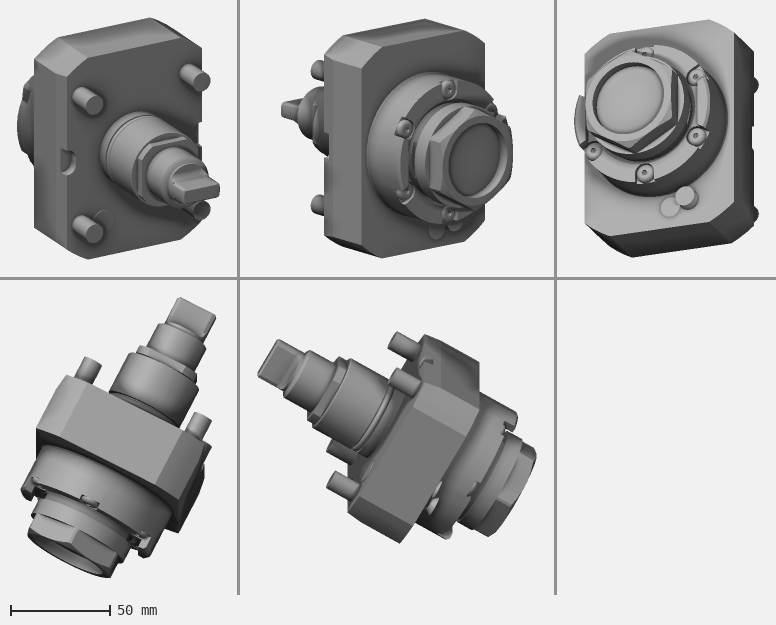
import cadquery as cq
import math

OVERALL_LENGTH = 143.5

HEX_SIDES = 6
HEX_ACROSS_FLATS = 46.2
HEX_LENGTH = 10.0
HEX_CHAMFER_LENGTH = 1.7
COLLAR_RADIUS = 26.3
COLLAR_END = 18.4
NUT_BORE_RADIUS = 19.4
NUT_BORE_DEPTH = 5.7
NECK_RADIUS = 25.0
NECK_END = 28.0
SHAFT_RADIUS = 13.8
SHAFT_END = 126.3
SHOULDER_MID_X = 127.0
SHOULDER_MID_RADIUS = 12.8
SHOULDER_END = 127.9
TANG_RADIUS = 11.0
TANG_BASE = 129.2
TANG_THICKNESS = 8.3
TANG_ROOT_RADIUS = 3.3
TANG_TIP_CHAMFER = 0.9
TANG_EDGE_CHAMFER_Y = 1.7
TANG_EDGE_CHAMFER_Z = 0.9

PLATE_WIDTH = 81.0
PLATE_HEIGHT = 110.0
PLATE_CORNER_RADIUS = 61.3
PLATE_FRONT = 43.2
PLATE_BACK = 74.5
TAPER_START = 65.7
TAPER_INSET = 1.3
KEYWAY_WIDTH = 13.5
KEYWAY_DEPTH_X = 5.0
KEYWAY_DEPTH_Y = 6.7
KEYWAY_CORNER_RADIUS = 5.2
PIN_RADIUS = 5.0
PIN_END = 88.7
PIN_Y = 31.1
PIN_Z = 35.0
PLUG_RADIUS = 6.0
PLUG_PROTRUSION = 0.5
PLUG_Y = -18.1
PLUG_Z = -35.9

FLANGE_RADIUS = 36.9
FLANGE_FLARE_LENGTH = 0.9
FLANGE_FOOT_RADIUS = 37.3
RING_FRONT = 22.4
RING_MOUTH_RADIUS = 27.5
LUG_FRONT = 18.2
LUG_CHAMFER = 1.1
LUG_INNER_Y = 30.3
SCREW_COUNT = 6
SCREW_CIRCLE_RADIUS = 32.0
SCREW_POCKET_WIDTH = 10.2
SCREW_POCKET_DEPTH = 2.7
SCREW_HEAD_RADIUS = 4.9
SCREW_HEAD_HEIGHT = 2.6
SCREW_TOP_RADIUS = 2.5
SCREW_RIM_HEIGHT = 0.7
SOCKET_ACROSS_CORNERS = 3.2
SOCKET_DEPTH = 1.1
SOCKET_POINT_RADIUS = 1.3
SOCKET_POINT_DEPTH = 0.7

SPIGOT_RADIUS = 20.1
SEAL_GROOVE_START = 80.2
SEAL_GROOVE_END = 84.1
SEAL_GROOVE_RADIUS = 17.7
SEAL_SECTION_RADIUS = 1.6
SPIGOT_END = 106.3
SPIGOT_CHAMFER = 0.5
SQUARE_START = 106.9
SQUARE_END = 111.0
SQUARE_ACROSS_FLATS = 32.6
SQUARE_CORNER_RADIUS = 19.1

NOZZLE_MOUTH_RADIUS = 5.2
NOZZLE_TAPER = 0.8
BALL_NOZZLE_Y = -16.1
BALL_NOZZLE_Z = -41.5
BALL_NOZZLE_FRONT = 37.3
BALL_RADIUS = 5.9
BALL_CENTER_X = 45.5
PLAIN_NOZZLE_Y = -6.9
PLAIN_NOZZLE_Z = -44.9
PLAIN_NOZZLE_FRONT = 40.8


def cylinder(radius, start, end, y=0, z=0):
    """Cylinder parallel to X from start to end."""
    return cq.Workplane("YZ", origin=(start, y, z)).circle(radius).extrude(end - start)


def block(start, end, width, height):
    """Box centred on the X axis from start to end."""
    return cq.Workplane("YZ", origin=(start, 0, 0)).rect(width, height).extrude(end - start)


def turned(points):
    """Solid of revolution about X from (x, radius) points; the profile closes on the axis."""
    profile = [(points[0][0], 0), *points]
    if points[-1][1] > 0:
        profile.append((points[-1][0], 0))
    return cq.Workplane("XY").polyline(profile).close().revolve(360, (0, 0, 0), (1, 0, 0))



def make_nut():
    hex_corners = HEX_ACROSS_FLATS / math.cos(math.pi / HEX_SIDES)
    hexagon = cq.Workplane("YZ").polygon(HEX_SIDES, hex_corners).extrude(HEX_LENGTH)
    hexagon = hexagon.rotate((0, 0, 0), (1, 0, 0), 180 / HEX_SIDES)
    envelope = turned([
        (0, HEX_ACROSS_FLATS / 2),
        (HEX_CHAMFER_LENGTH, COLLAR_RADIUS),
        (HEX_LENGTH, COLLAR_RADIUS),
    ])
    nut = hexagon.intersect(envelope).union(cylinder(COLLAR_RADIUS, HEX_LENGTH, COLLAR_END))
    return nut.cut(cylinder(NUT_BORE_RADIUS, 0, NUT_BORE_DEPTH))


def make_neck():
    flats = block(COLLAR_END, RING_FRONT, HEX_ACROSS_FLATS, 2 * NECK_RADIUS)
    flatted = cylinder(NECK_RADIUS, COLLAR_END, RING_FRONT).intersect(flats)
    return flatted.union(cylinder(NECK_RADIUS, RING_FRONT, NECK_END))


def make_tang():
    """Flat drive blade cut from a round stub, with rounded roots and bevelled edges."""
    half = TANG_THICKNESS / 2
    root_end = TANG_BASE + TANG_ROOT_RADIUS
    root_top = half + TANG_ROOT_RADIUS
    arc_offset = TANG_ROOT_RADIUS * (1 - math.sqrt(0.5))
    arc_x = TANG_BASE + arc_offset
    arc_z = half + arc_offset
    tip_start = OVERALL_LENGTH - TANG_TIP_CHAMFER
    tip_half = half - TANG_TIP_CHAMFER
    side_outline = (
        cq.Workplane("XZ")
        .moveTo(SHAFT_END, -SHAFT_RADIUS)
        .lineTo(TANG_BASE, -SHAFT_RADIUS)
        .lineTo(TANG_BASE, -root_top)
        .threePointArc((arc_x, -arc_z), (root_end, -half))
        .lineTo(tip_start, -half)
        .lineTo(OVERALL_LENGTH, -tip_half)
        .lineTo(OVERALL_LENGTH, tip_half)
        .lineTo(tip_start, half)
        .lineTo(root_end, half)
        .threePointArc((arc_x, arc_z), (TANG_BASE, root_top))
        .lineTo(TANG_BASE, SHAFT_RADIUS)
        .lineTo(SHAFT_END, SHAFT_RADIUS)
        .close()
        .extrude(SHAFT_RADIUS, both=True)
    )
    round_stub = turned([
        (SHAFT_END, SHAFT_RADIUS),
        (SHOULDER_MID_X, SHOULDER_MID_RADIUS),
        (SHOULDER_END, TANG_RADIUS),
        (tip_start, TANG_RADIUS),
        (OVERALL_LENGTH, TANG_RADIUS - TANG_TIP_CHAMFER),
    ])
    tang = round_stub.intersect(side_outline)

    edge_y = math.sqrt(TANG_RADIUS ** 2 - (half - TANG_EDGE_CHAMFER_Z) ** 2)
    slope = TANG_EDGE_CHAMFER_Z / TANG_EDGE_CHAMFER_Y
    outer_z = half - TANG_EDGE_CHAMFER_Z - slope * (TANG_RADIUS - edge_y)
    flat_y = edge_y - TANG_EDGE_CHAMFER_Y
    for y_side in (-1, 1):
        for z_side in (-1, 1):
            bevel = (
                cq.Workplane("YZ", origin=(root_end, 0, 0))
                .polyline([
                    (y_side * flat_y, z_side * half),
                    (y_side * TANG_RADIUS, z_side * half),
                    (y_side * TANG_RADIUS, z_side * outer_z),
                ])
                .close()
                .extrude(OVERALL_LENGTH - root_end)
            )
            tang = tang.cut(bevel)
    return tang


def make_spindle():
    shaft = cylinder(SHAFT_RADIUS, NECK_END, SHAFT_END)
    return make_nut().union(make_neck()).union(shaft).union(make_tang())



def make_plate():
    round_blank = cylinder(PLATE_CORNER_RADIUS, PLATE_FRONT, PLATE_BACK)
    half = PLATE_WIDTH / 2
    back_half = half - TAPER_INSET
    top_outline = (
        cq.Workplane("XY", origin=(0, 0, -PLATE_HEIGHT / 2))
        .polyline([
            (PLATE_FRONT, -half),
            (TAPER_START, -half),
            (PLATE_BACK, -back_half),
            (PLATE_BACK, back_half),
            (TAPER_START, half),
            (PLATE_FRONT, half),
        ])
        .close()
        .extrude(PLATE_HEIGHT)
    )
    plate = round_blank.intersect(top_outline)
    for side in (-1, 1):
        keyway = (
            cq.Workplane("YZ", origin=(PLATE_BACK - KEYWAY_DEPTH_X, side * half, 0))
            .rect(2 * KEYWAY_DEPTH_Y, KEYWAY_WIDTH)
            .extrude(KEYWAY_DEPTH_X)
            .edges("|X")
            .fillet(KEYWAY_CORNER_RADIUS)
        )
        mouth = block(PLATE_BACK - KEYWAY_DEPTH_X, PLATE_BACK, 2 * TAPER_INSET, KEYWAY_WIDTH)
        plate = plate.cut(keyway).cut(mouth.translate((0, side * half, 0)))
    return plate


def make_plate_studs():
    """Four locating pins and one sealing plug on the back of the plate."""
    studs = cylinder(PLUG_RADIUS, TAPER_START, PLATE_BACK + PLUG_PROTRUSION, PLUG_Y, PLUG_Z)
    for y in (-PIN_Y, PIN_Y):
        for z in (-PIN_Z, PIN_Z):
            studs = studs.union(cylinder(PIN_RADIUS, TAPER_START, PIN_END, y, z))
    return studs


def make_ring():
    """Flange and clamping ring with a flared mouth and a raised lug on each Y side."""
    ring = turned([
        (RING_FRONT, FLANGE_RADIUS),
        (PLATE_FRONT - FLANGE_FLARE_LENGTH, FLANGE_RADIUS),
        (PLATE_FRONT, FLANGE_FOOT_RADIUS),
    ])
    lugs = turned([
        (LUG_FRONT, FLANGE_RADIUS - LUG_CHAMFER),
        (LUG_FRONT + LUG_CHAMFER, FLANGE_RADIUS),
        (NECK_END, FLANGE_RADIUS),
    ])
    lugs = lugs.cut(block(LUG_FRONT, NECK_END, 2 * LUG_INNER_Y, 2 * FLANGE_RADIUS))
    mouth = turned([
        (RING_FRONT, RING_MOUTH_RADIUS),
        (RING_FRONT + RING_MOUTH_RADIUS - NECK_RADIUS, NECK_RADIUS),
    ])
    return ring.union(lugs).cut(mouth)


def make_screw_pocket():
    """Round-ended pocket on the +Z side of the ring, open outwards."""
    floor = RING_FRONT + SCREW_POCKET_DEPTH
    width = SCREW_POCKET_WIDTH
    rounded_end = cylinder(width / 2, LUG_FRONT, floor, z=SCREW_CIRCLE_RADIUS)
    channel_start = cq.Workplane("YZ", origin=(LUG_FRONT, 0, SCREW_CIRCLE_RADIUS + width / 2))
    return rounded_end.union(channel_start.rect(width, width).extrude(floor - LUG_FRONT))


def make_screw_head():
    """Button head with a hexagon socket on the +Z side of the ring."""
    floor = RING_FRONT + SCREW_POCKET_DEPTH
    top = floor - SCREW_HEAD_HEIGHT
    rim = floor - SCREW_RIM_HEIGHT
    bulge = math.sqrt(0.5)
    dome_mid = (
        rim + (top - rim) * bulge,
        SCREW_TOP_RADIUS + (SCREW_HEAD_RADIUS - SCREW_TOP_RADIUS) * bulge,
    )
    head = (
        cq.Workplane("XY")
        .moveTo(floor, 0)
        .lineTo(floor, SCREW_HEAD_RADIUS)
        .lineTo(rim, SCREW_HEAD_RADIUS)
        .threePointArc(dome_mid, (top, SCREW_TOP_RADIUS))
        .lineTo(top, 0)
        .close()
        .revolve(360, (0, 0, 0), (1, 0, 0))
    )
    socket = cq.Workplane("YZ", origin=(top, 0, 0)).polygon(HEX_SIDES, SOCKET_ACROSS_CORNERS)
    socket = socket.extrude(SOCKET_DEPTH)
    socket_floor = top + SOCKET_DEPTH
    socket_point = turned([
        (socket_floor, SOCKET_POINT_RADIUS),
        (socket_floor + SOCKET_POINT_DEPTH, 0),
    ])
    return head.cut(socket).cut(socket_point).translate((0, 0, SCREW_CIRCLE_RADIUS))


def add_screws(ring):
    for index in range(SCREW_COUNT):
        angle = index * 360 / SCREW_COUNT
        ring = ring.cut(make_screw_pocket().rotate((0, 0, 0), (1, 0, 0), angle))
        ring = ring.union(make_screw_head().rotate((0, 0, 0), (1, 0, 0), angle))
    return ring


def make_spigot():
    """Rear spigot with a seal ring in its groove and a square end with turned corners."""
    spigot = turned([
        (PLATE_BACK, SPIGOT_RADIUS),
        (SEAL_GROOVE_START, SPIGOT_RADIUS),
        (SEAL_GROOVE_START, SEAL_GROOVE_RADIUS),
        (SEAL_GROOVE_END, SEAL_GROOVE_RADIUS),
        (SEAL_GROOVE_END, SPIGOT_RADIUS),
        (SPIGOT_END - SPIGOT_CHAMFER, SPIGOT_RADIUS),
        (SPIGOT_END, SPIGOT_RADIUS - SPIGOT_CHAMFER),
    ])
    seal_center_radius = SPIGOT_RADIUS - SEAL_SECTION_RADIUS
    seal = (
        cq.Workplane("XY")
        .center(SEAL_GROOVE_START + SEAL_SECTION_RADIUS, seal_center_radius)
        .circle(SEAL_SECTION_RADIUS)
        .revolve(360, (0, -seal_center_radius, 0), (1, -seal_center_radius, 0))
    )
    relief = cylinder(SQUARE_ACROSS_FLATS / 2, SPIGOT_END, SQUARE_START)
    square = block(SQUARE_START, SQUARE_END, SQUARE_ACROSS_FLATS, SQUARE_ACROSS_FLATS)
    square = square.intersect(cylinder(SQUARE_CORNER_RADIUS, SQUARE_START, SQUARE_END))
    return spigot.union(seal).union(relief).union(square)


def make_nozzle(front, y, z):
    """Flared nozzle, widest at its front, running back to the plate."""
    base_radius = NOZZLE_MOUTH_RADIUS - NOZZLE_TAPER * (PLATE_FRONT - front)
    cone = turned([(front, NOZZLE_MOUTH_RADIUS), (PLATE_FRONT, base_radius)])
    return cone.translate((0, y, z))


def make_nozzles():
    ball = cq.Workplane("XY", origin=(BALL_CENTER_X, BALL_NOZZLE_Y, BALL_NOZZLE_Z)).sphere(BALL_RADIUS)
    ball_nozzle = make_nozzle(BALL_NOZZLE_FRONT, BALL_NOZZLE_Y, BALL_NOZZLE_Z).union(ball)
    return ball_nozzle.union(make_nozzle(PLAIN_NOZZLE_FRONT, PLAIN_NOZZLE_Y, PLAIN_NOZZLE_Z))


def make_housing():
    housing = make_plate().union(add_screws(make_ring())).union(make_spigot())
    housing = housing.union(make_plate_studs()).union(make_nozzles())
    neck_bore = cylinder(NECK_RADIUS, RING_FRONT, NECK_END)
    shaft_bore = cylinder(SHAFT_RADIUS, NECK_END, SQUARE_END)
    return housing.cut(neck_bore).cut(shaft_bore)


spindle = make_spindle()
housing = make_housing()
result = cq.Compound.makeCompound([*housing.solids().vals(), *spindle.solids().vals()])